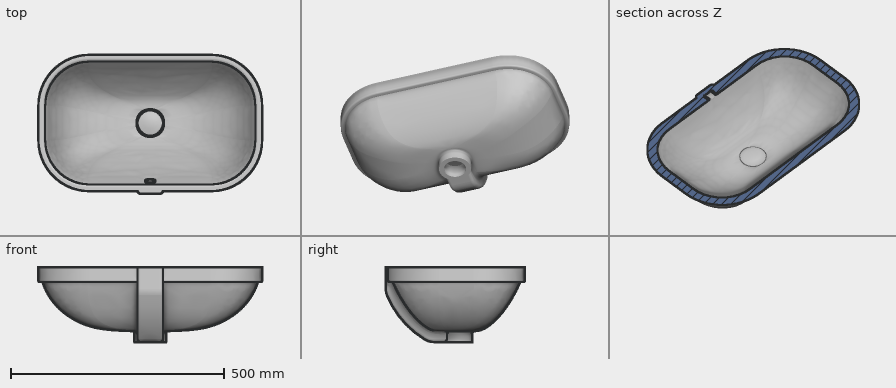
import cadquery as cq
import math

RIM_LENGTH = 525.0
RIM_WIDTH = 320.0
RIM_CORNER = 120.0
RIM_HEIGHT = 35.0
RIM_BOTTOM_ROUND = 4.0
RIM_FLAT = 9.0
RIM_INNER_ROUND = 7.5
LIP_DEPTH = 8.0
BOWL_INSET = RIM_FLAT + RIM_INNER_ROUND

TOTAL_HEIGHT = 176.0
PIPE_DIAMETER = 75.0
PIPE_JOINT_ROUND = 4.0
DRAIN_BORE = 52.0
SEAT_DIAMETER = 65.0
BASIN_FLOOR = 136.0
SEAT_DEPTH = 140.0

OUTER_SECTIONS = [
    (RIM_HEIGHT, 252.5, 149.0, 109.0),
    (80.5, 228.5, 125.5, 85.5),
    (108.5, 199.5, 105.0, 66.0),
    (128.0, 168.0, 86.5, 51.5),
    (144.0, 119.5, 65.0, 42.0),
    (149.0, 68.0, 50.0, 35.5),
    (150.0, 42.0, 42.0, 32.5),
]
INNER_SECTIONS = [
    (LIP_DEPTH, RIM_LENGTH / 2 - BOWL_INSET, RIM_WIDTH / 2 - BOWL_INSET, RIM_CORNER - BOWL_INSET),
    (28.5, 239.0, 135.0, 94.5),
    (72.0, 216.0, 113.0, 72.5),
    (106.0, 176.5, 86.5, 52.5),
    (126.5, 129.5, 64.5, 40.5),
    (132.5, 97.0, 51.5, 34.0),
    (BASIN_FLOOR, 29.5, 29.5, 23.5),
]

RIB_WIDTH = 60.0
RIB_PROJECTION = 6.0
RIB_FRONT = -RIM_WIDTH / 2 - RIB_PROJECTION
RIB_STRAIGHT = 59.0
RIB_FOOT = -63.0
RIB_CURVE_MIDDLE = (-124.0, -128.0)
RIB_FRONT_BEND = 37.0
RIB_FOOT_BEND = 47.0
RIB_SEAT = 143.5
RIB_INNER_TOP = -152.0
RIB_INNER_RIM = -142.0
RIB_INNER_BEND = -52.5
RIB_EDGE_ROUND = 7.5
RIB_JOINT_ROUND = 8.0
RIB_JOINT_Y = -108.5
RIB_JOINT_DEPTH = 97.0

PLUG_DIAMETER = 60.0
PLUG_TOP = 130.0
PLUG_EDGE = 135.0

RING_OUTER = 25.0
RING_INNER = 20.0
RING_LENGTH = 16.0
RING_Y = -136.0
RING_DEPTH = 26.0
RING_TILT = 20.0


def rounded_rectangle(depth, half_length, half_width, radius):
    """Closed wire with four straight sides and four corner arcs, at the given depth."""
    flat_x = half_length - radius
    flat_y = half_width - radius
    diagonal = radius * math.sqrt(0.5)
    return (
        cq.Workplane("XY", origin=(0, 0, -depth))
        .moveTo(-flat_x, -half_width)
        .lineTo(flat_x, -half_width)
        .threePointArc((flat_x + diagonal, -flat_y - diagonal), (half_length, -flat_y))
        .lineTo(half_length, flat_y)
        .threePointArc((flat_x + diagonal, flat_y + diagonal), (flat_x, half_width))
        .lineTo(-flat_x, half_width)
        .threePointArc((-flat_x - diagonal, flat_y + diagonal), (-half_length, flat_y))
        .lineTo(-half_length, -flat_y)
        .threePointArc((-flat_x - diagonal, -flat_y - diagonal), (-flat_x, -half_width))
        .close()
    )


def bowl_solid(sections):
    """Smooth loft through rounded rectangles that shrink with depth."""
    wires = [rounded_rectangle(*section).wire().val() for section in sections]
    return cq.Workplane(cq.Solid.makeLoft(wires))


def rim_block():
    """Solid rim with its bottom edge rounded."""
    block = rounded_rectangle(0, RIM_LENGTH / 2, RIM_WIDTH / 2, RIM_CORNER).extrude(-RIM_HEIGHT)
    return block.faces("<Z").edges().fillet(RIM_BOTTOM_ROUND)


def rib():
    """Curved strip from the rim's front to the drain pipe, with its outer edges rounded."""
    inner_face = [
        (RIB_INNER_TOP, 0),
        (RIB_INNER_RIM, -RIM_HEIGHT),
        (RIB_INNER_BEND, -RIB_SEAT),
        (0, -RIB_SEAT),
    ]
    body = (
        cq.Workplane("YZ", origin=(-RIB_WIDTH / 2, 0, 0))
        .moveTo(0, -TOTAL_HEIGHT)
        .lineTo(RIB_FOOT, -TOTAL_HEIGHT)
        .threePointArc(RIB_CURVE_MIDDLE, (RIB_FRONT, -RIB_STRAIGHT))
        .lineTo(RIB_FRONT, 0)
        .polyline(inner_face, includeCurrent=True)
        .close()
        .extrude(RIB_WIDTH)
    )
    body = body.edges(cq.NearestToPointSelector((0, RIB_FRONT, -RIB_STRAIGHT))).fillet(RIB_FRONT_BEND)
    body = body.edges(cq.NearestToPointSelector((0, RIB_FOOT, -TOTAL_HEIGHT))).fillet(RIB_FOOT_BEND)
    for side in (-1, 1):
        front_edge = cq.NearestToPointSelector((side * RIB_WIDTH / 2, RIB_FRONT, -RIB_STRAIGHT / 2))
        body = body.edges(front_edge).fillet(RIB_EDGE_ROUND)
    return body


def pipe():
    """Drain pipe with a concave flare where it joins the underside of the bowl."""
    radius = PIPE_DIAMETER / 2
    bowl_bottom = OUTER_SECTIONS[-1][0]
    flare_radius = radius + PIPE_JOINT_ROUND
    flare_start = bowl_bottom + PIPE_JOINT_ROUND
    flare_reach = PIPE_JOINT_ROUND * (1 - math.sqrt(0.5))
    return (
        cq.Workplane("XZ")
        .moveTo(0, -TOTAL_HEIGHT)
        .lineTo(radius, -TOTAL_HEIGHT)
        .lineTo(radius, -flare_start)
        .threePointArc((radius + flare_reach, -bowl_bottom - flare_reach), (flare_radius, -bowl_bottom))
        .lineTo(flare_radius, -SEAT_DEPTH)
        .lineTo(0, -SEAT_DEPTH)
        .close()
        .revolve(360, (0, 0), (0, 1))
    )


def rim_opening():
    """Cutter for the straight mouth of the bowl, above its lofted surface."""
    half_length = RIM_LENGTH / 2 - BOWL_INSET
    half_width = RIM_WIDTH / 2 - BOWL_INSET
    mouth = rounded_rectangle(0, half_length, half_width, RIM_CORNER - BOWL_INSET)
    return mouth.extrude(-LIP_DEPTH)


def round_rim_mouth(body):
    """Round the edge between the rim's top face and the mouth of the bowl."""
    mouth_edges = cq.selectors.BoxSelector(
        (-RIM_LENGTH / 2 + RIM_FLAT, -RIM_WIDTH / 2 + RIM_FLAT, -LIP_DEPTH / 2),
        (RIM_LENGTH / 2 - RIM_FLAT, RIM_WIDTH / 2 - RIM_FLAT, LIP_DEPTH / 2),
        boundingbox=True,
    )
    return body.edges(mouth_edges).fillet(RIM_INNER_ROUND)


def round_rib_joint(body):
    """Concave rounding where each side of the rib meets the bowl."""
    for side in (-1, 1):
        joint = cq.NearestToPointSelector((side * RIB_WIDTH / 2, RIB_JOINT_Y, -RIB_JOINT_DEPTH))
        body = body.edges(joint).fillet(RIB_JOINT_ROUND)
    return body


def upright_cylinder(diameter, bottom, top):
    """Cylinder on the drain axis between two depths."""
    return cq.Workplane("XY", origin=(0, 0, -bottom)).circle(diameter / 2).extrude(bottom - top)


def drain_cutter():
    """Seat for the plug, open to the bowl above, and the bore through the pipe."""
    seat = upright_cylinder(SEAT_DIAMETER, SEAT_DEPTH, LIP_DEPTH)
    bore = upright_cylinder(DRAIN_BORE, TOTAL_HEIGHT, SEAT_DEPTH)
    return seat.union(bore)


def overflow_plane():
    """Workplane on the bowl's front wall, with its normal pointing into the bowl."""
    tilt = math.radians(RING_TILT)
    return cq.Workplane(
        cq.Plane(
            origin=(0, RING_Y, -RING_DEPTH),
            xDir=(1, 0, 0),
            normal=(0, math.cos(tilt), math.sin(tilt)),
        )
    )


def overflow_cutter():
    """Blind hole as deep as the overflow ring, running out into the open bowl."""
    hole_floor = overflow_plane().workplane(offset=-RING_LENGTH)
    return hole_floor.circle(RING_OUTER / 2).extrude(2 * RING_LENGTH)


def make_basin():
    body = rim_block().union(bowl_solid(OUTER_SECTIONS)).union(rib())
    body = round_rib_joint(body).union(pipe())
    body = round_rim_mouth(body.cut(rim_opening()))
    body = body.cut(bowl_solid(INNER_SECTIONS))
    return body.cut(drain_cutter()).cut(overflow_cutter())


def make_plug():
    """Domed disc that rests on the drain seat."""
    radius = PLUG_DIAMETER / 2
    rise = PLUG_EDGE - PLUG_TOP
    dome_radius = (radius**2 + rise**2) / (2 * rise)
    middle = radius / 2
    middle_height = -PLUG_TOP - dome_radius + math.sqrt(dome_radius**2 - middle**2)
    return (
        cq.Workplane("XZ")
        .moveTo(0, -SEAT_DEPTH)
        .lineTo(radius, -SEAT_DEPTH)
        .lineTo(radius, -PLUG_EDGE)
        .threePointArc((middle, middle_height), (0, -PLUG_TOP))
        .close()
        .revolve(360, (0, 0), (0, 1))
    )


def make_overflow_ring():
    """Plain ring that lines the overflow hole, its face at the bowl's surface."""
    return overflow_plane().circle(RING_OUTER / 2).circle(RING_INNER / 2).extrude(-RING_LENGTH)


basin = make_basin()
plug = make_plug()
overflow_ring = make_overflow_ring()
result = cq.Compound.makeCompound([basin.solids().val(), plug.val(), overflow_ring.val()])